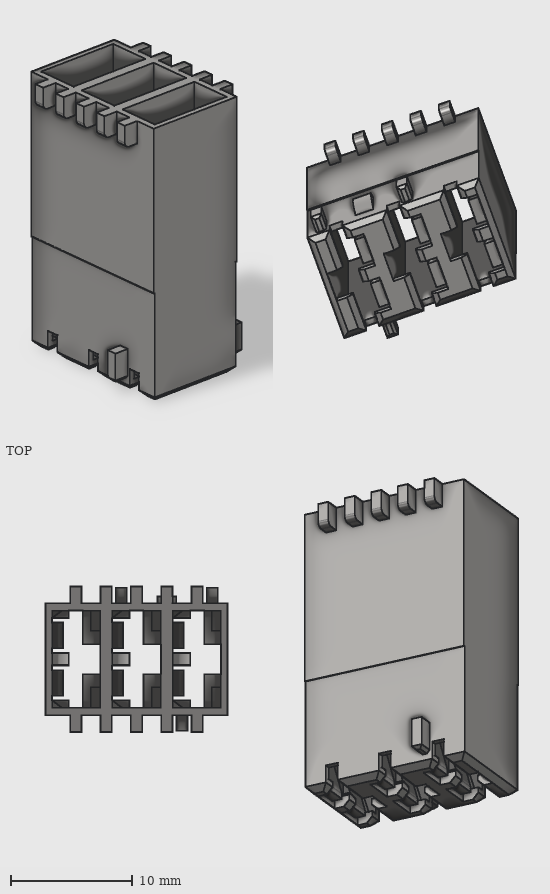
import cadquery as cq

height = 25.0
width = 15.0
upper_depth = 9.25
lower_depth = 9.05
step_height = 10.0
edge_chamfer = 0.52

cavity_pitch = 5.0
cavity_count = 3
cavity_depth = 8.0
end_wall = 0.55
divider = 1.0
floor_thickness = 1.0

notch_width = 1.12
notch_height = 2.05

rib_pitch = 2.5
rib_count = 5
rib_width = 0.95
rib_length = 2.05
rib_span = 12.0
rib_radius = 0.5

key_width = 0.92
key_bottom = 1.08
key_top = 3.8
key_span = 11.8
key_chamfer = 0.28
front_key_places = [3.75]
back_key_places = [-1.25, 6.25]

latch_place = 2.5
latch_width = 1.58
latch_reach = 5.18
latch_top = 6.5
latch_shoulder = 5.65
latch_arc_middle = (5.05, 4.25)
latch_bottom = 2.5

corner_foot_depth = 0.62
center_foot_depth = 1.05
center_foot_rise = 0.18
center_foot_ledge = 0.08
gusset_run_x = 0.8
gusset_run_y = 0.6
gusset_rise = 2.5
ramp_run = 0.9
ramp_bottom = edge_chamfer
ramp_rise = 3.25
ramp_inner = 0.9
ramp_outer = 3.02
side_opening = 2.45
post_run = 0.75
post_depth = 1.68
post_rise = 1.05


def box(x_range, y_range, z_range):
    """Block between pairs of limits along each axis."""
    sizes = [high - low for low, high in (x_range, y_range, z_range)]
    corner = (x_range[0], y_range[0], z_range[0])
    return cq.Workplane("XY").box(*sizes, centered=False).translate(corner)


def spread(count, pitch):
    """Evenly pitched places centred on zero."""
    return [(index - (count - 1) / 2) * pitch for index in range(count)]


def extrude_along_y(points, y_start, y_end):
    """Outline in X and Z, extruded along Y."""
    return cq.Workplane("XZ", origin=(0, y_start, 0)).polyline(points).close().extrude(y_start - y_end)


def extrude_along_x(points, x_start, x_end):
    """Outline in Y and Z, extruded along X."""
    return cq.Workplane("YZ", origin=(x_start, 0, 0)).polyline(points).close().extrude(x_end - x_start)


def make_shell():
    """Stepped outer block with a chamfered bottom."""
    lower = cq.Workplane("XY").box(width, lower_depth, height, centered=(True, True, False))
    lower = lower.faces("<Z").edges().chamfer(edge_chamfer)
    upper = cq.Workplane("XY", origin=(0, 0, step_height)).rect(width, upper_depth).extrude(height - step_height)
    return lower.union(upper)


def cavity_limits(center):
    """Left and right walls of a cavity."""
    half_pitch = cavity_pitch / 2
    left = max(center - half_pitch + divider / 2, -width / 2 + end_wall)
    right = min(center + half_pitch - divider / 2, width / 2 - end_wall)
    return left, right


def make_cavity(center):
    """Cavity space with the openings through its floor."""
    left, right = cavity_limits(center)
    half = cavity_depth / 2
    space = box((left, right), (-half, half), (floor_thickness, height))
    opening = box((center, right), (-side_opening / 2, side_opening / 2), (0, height))
    space = space.union(opening)
    for side in (-1, 1):
        limits = sorted((side * center_foot_depth / 2, side * (half - corner_foot_depth)))
        space = space.union(box((left, center), limits, (0, height)))
    return space


def make_notch(center):
    """Through notch along Y with flared lower edges."""
    half = notch_width / 2
    flare = half + edge_chamfer
    points = [
        (center - flare, 0),
        (center - half, edge_chamfer),
        (center - half, notch_height),
        (center + half, notch_height),
        (center + half, edge_chamfer),
        (center + flare, 0),
    ]
    return extrude_along_y(points, -lower_depth, lower_depth)


def make_gusset(corner_x, side):
    """Sloped corner fill on a corner foot."""
    corner_y = side * cavity_depth / 2
    root = cq.Vector(corner_x, corner_y, floor_thickness)
    along_x = root + cq.Vector(gusset_run_x, 0, 0)
    along_y = root + cq.Vector(0, -side * gusset_run_y, 0)
    peak = root + cq.Vector(0, 0, gusset_rise)
    triangles = [
        (root, along_x, along_y),
        (root, along_x, peak),
        (root, along_y, peak),
        (along_x, along_y, peak),
    ]
    faces = [cq.Face.makeFromWires(cq.Wire.makePolygon(t, close=True)) for t in triangles]
    return cq.Workplane(cq.Solid.makeSolid(cq.Shell.makeShell(faces)))


def make_cavity_details(center):
    """Ramps, corner gussets, posts and centre foot of a cavity."""
    left, right = cavity_limits(center)
    half = cavity_depth / 2
    half_foot = center_foot_depth / 2
    crown = floor_thickness + center_foot_rise
    ridge = -half_foot + center_foot_ledge
    wedge = [(ridge, floor_thickness), (ridge, crown), (half_foot, floor_thickness)]
    details = extrude_along_x(wedge, left, center - notch_width / 2)
    ramp = [
        (left, ramp_bottom),
        (left + ramp_run, ramp_bottom),
        (left + ramp_run, floor_thickness),
        (left, floor_thickness + ramp_rise),
    ]
    post = [
        (right, floor_thickness),
        (right - post_run, floor_thickness),
        (right, floor_thickness + post_rise),
    ]
    for side in (-1, 1):
        details = details.union(extrude_along_y(ramp, side * ramp_inner, side * ramp_outer))
        details = details.union(extrude_along_y(post, side * (half - post_depth), side * half))
        details = details.union(make_gusset(left, side))
    return details


def make_rib(center):
    """Pair of guide ribs with rounded lower tips; the bar is cleared by the cavities."""
    bar = box(
        (center - rib_width / 2, center + rib_width / 2),
        (-rib_span / 2, rib_span / 2),
        (height - rib_length, height),
    )
    return bar.faces("<Z").edges("|X").fillet(rib_radius)


def make_key(center, side):
    """Coding key on the front (-1) or back (+1) face."""
    limits = sorted((0, side * key_span / 2))
    x_range = (center - key_width / 2, center + key_width / 2)
    return box(x_range, limits, (key_bottom, key_top)).faces("<Z").edges().chamfer(key_chamfer)


def make_latch():
    """Latch bump with a sloped top and a long curved underside."""
    wall = lower_depth / 2
    profile = (
        cq.Workplane("YZ", origin=(latch_place - latch_width / 2, 0, 0))
        .moveTo(0, latch_bottom)
        .lineTo(0, latch_top)
        .lineTo(wall, latch_top)
        .lineTo(latch_reach, latch_shoulder)
        .threePointArc(latch_arc_middle, (wall, latch_bottom))
        .close()
    )
    return profile.extrude(latch_width)


result = make_shell().union(make_latch())
for place in spread(rib_count, rib_pitch):
    result = result.union(make_rib(place))
for place in front_key_places:
    result = result.union(make_key(place, -1))
for place in back_key_places:
    result = result.union(make_key(place, 1))
for place in spread(cavity_count, cavity_pitch):
    result = result.cut(make_cavity(place))
    result = result.cut(make_notch(place))
    result = result.union(make_cavity_details(place))